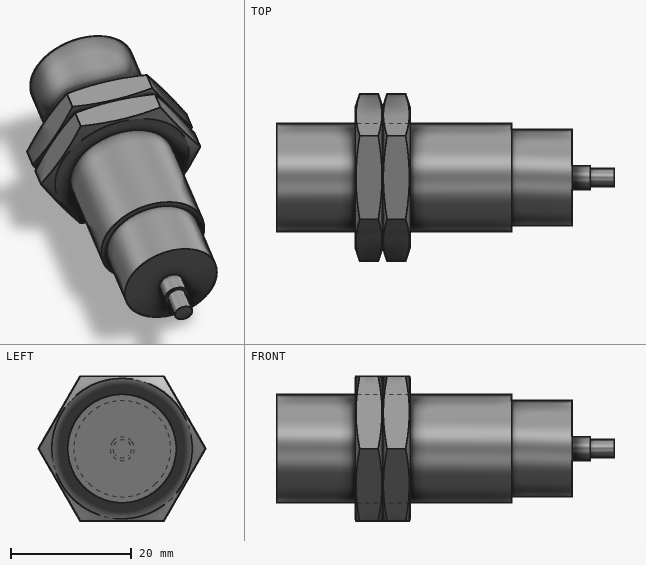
import cadquery as cq
import math

BARREL_DIAMETER = 18.0
BARREL_END = 39.0
REAR_CAP_DIAMETER = 16.0
REAR_CAP_END = 49.0
SLEEVE_DIAMETER = 4.0
SLEEVE_END = 52.0
CABLE_DIAMETER = 3.0
CABLE_END = 56.0

NUT_START = 13.05
NUT_THICKNESS = 4.55
NUT_COUNT = 2
NUT_ACROSS_FLATS = 24.0
NUT_FACE_DIAMETER = 23.3
NUT_CHAMFER_LENGTH = 0.7
NUT_ACROSS_CORNERS = NUT_ACROSS_FLATS / math.cos(math.radians(30))


def cylinder(start, end, diameter):
    """Solid cylinder on the X axis between two X positions."""
    return cq.Workplane("YZ", origin=(start, 0, 0)).circle(diameter / 2).extrude(end - start)


def make_sensor():
    """Barrel, rear cap, cable sleeve and cable in one stepped solid."""
    sensor = cylinder(0, BARREL_END, BARREL_DIAMETER)
    sensor = sensor.union(cylinder(BARREL_END, REAR_CAP_END, REAR_CAP_DIAMETER))
    sensor = sensor.union(cylinder(REAR_CAP_END, SLEEVE_END, SLEEVE_DIAMETER))
    return sensor.union(cylinder(SLEEVE_END, CABLE_END, CABLE_DIAMETER))


def make_nut(start):
    """Hexagonal nut blank with corners on the Y axis and both faces chamfered by a cone."""
    end = start + NUT_THICKNESS
    face_radius = NUT_FACE_DIAMETER / 2
    corner_radius = NUT_ACROSS_CORNERS / 2
    hexagon = (
        cq.Workplane("YZ", origin=(start, 0, 0))
        .polygon(6, NUT_ACROSS_CORNERS)
        .extrude(NUT_THICKNESS)
    )
    chamfer_envelope = (
        cq.Workplane("XY")
        .moveTo(start, 0)
        .lineTo(start, face_radius)
        .lineTo(start + NUT_CHAMFER_LENGTH, corner_radius)
        .lineTo(end - NUT_CHAMFER_LENGTH, corner_radius)
        .lineTo(end, face_radius)
        .lineTo(end, 0)
        .close()
        .revolve(360, (0, 0, 0), (1, 0, 0))
    )
    return hexagon.intersect(chamfer_envelope)


def make_nut_pair():
    """Adjacent nuts fused at their shared face and bored to fit the barrel."""
    pair = make_nut(NUT_START)
    for index in range(1, NUT_COUNT):
        pair = pair.union(make_nut(NUT_START + index * NUT_THICKNESS))
    pair_end = NUT_START + NUT_COUNT * NUT_THICKNESS
    return pair.cut(cylinder(NUT_START, pair_end, BARREL_DIAMETER))


sensor = make_sensor()
nut_pair = make_nut_pair()

result = cq.Compound.makeCompound([sensor.val(), nut_pair.val()])